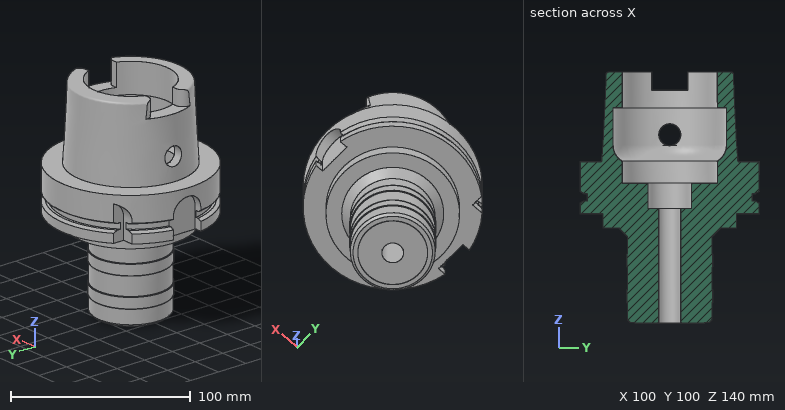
import cadquery as cq

OVERLAP = 1.4

taper_length = 50.0
taper_base_radius = 38.1
taper_end_radius = 35.5
taper_edge_fillet = 2.0

bore_radius = 26.5
bore_depth = 20.0
undercut_radius = 31.5
undercut_straight_length = 21.0
undercut_fillet = 10.0
cavity_floor_z = -12.0
socket_radius = 12.0
socket_depth = 14.0
coolant_radius = 6.0

cross_hole_radius = 6.0
cross_hole_z = 15.0

notch_half_width = 10.0
notch_left_depth = 10.2
notch_right_depth = 15.3
lobe_tip_x = 32.3
lobe_tip_radius = 5.3

flange_radius = 50.0
flange_thickness = 29.1
groove_floor_radius = 46.0
groove_mouth_top_z = -16.7
groove_mouth_width = 6.5
groove_chamfer_height = 1.3
groove_chamfer_depth = 2.2

pocket_half_width = 10.0
pocket_top_z = -5.2
drive_pocket_floor = 44.0
index_notch_wall = 31.5

collar_radius = 37.2
collar_bottom_z = -37.1
neck_top_radius = 28.4
pilot_radius = 23.7
pilot_bottom_z = taper_length - 140.0
pilot_chamfer = 1.5
tip_radius = 19.5
tip_height = 0.4
band_radius = 24.1
band_width = 7.7
band_chamfer = band_radius - pilot_radius
band_top_heights = (-51.2, -71.1)


def make_turned_body():
    """Revolve the outside of the part as one solid of revolution."""
    flange_bottom_z = -flange_thickness
    groove_mouth_bottom_z = groove_mouth_top_z - groove_mouth_width
    groove_floor_top_z = groove_mouth_top_z - groove_chamfer_height
    groove_floor_bottom_z = groove_mouth_bottom_z + groove_chamfer_height
    groove_shoulder_radius = flange_radius - groove_chamfer_depth
    neck_bottom_z = collar_bottom_z - (neck_top_radius - pilot_radius)
    pilot_end_z = pilot_bottom_z + tip_height
    profile = [
        (0, taper_length),
        (taper_end_radius, taper_length),
        (taper_base_radius, 0),
        (flange_radius, 0),
        (flange_radius, groove_mouth_top_z),
        (groove_shoulder_radius, groove_floor_top_z),
        (groove_floor_radius, groove_floor_top_z),
        (groove_floor_radius, groove_floor_bottom_z),
        (groove_shoulder_radius, groove_floor_bottom_z),
        (flange_radius, groove_mouth_bottom_z),
        (flange_radius, flange_bottom_z),
        (collar_radius, flange_bottom_z),
        (collar_radius, collar_bottom_z),
        (neck_top_radius, collar_bottom_z),
        (pilot_radius, neck_bottom_z),
        (pilot_radius, pilot_end_z + pilot_chamfer),
        (pilot_radius - pilot_chamfer, pilot_end_z),
        (tip_radius, pilot_end_z),
        (tip_radius, pilot_bottom_z),
        (0, pilot_bottom_z),
    ]
    body = cq.Workplane("XZ").polyline(profile).close().revolve(360, (0, 0), (0, 1))
    for top_z in band_top_heights:
        band = upright_cylinder(band_radius, top_z - band_width, top_z)
        body = body.union(band.edges().chamfer(band_chamfer))
    return body.faces(">Z").edges().fillet(taper_edge_fillet)


def upright_cylinder(radius, bottom_z, top_z):
    """Cylinder on the Z axis between two heights."""
    return cq.Workplane("XY").workplane(offset=bottom_z).circle(radius).extrude(top_z - bottom_z)


def make_cavity():
    """Bore with a round-bottomed undercut, central socket and coolant passage."""
    undercut_top_z = taper_length - bore_depth
    socket_bottom_z = cavity_floor_z - socket_depth
    undercut_bottom_z = undercut_top_z - undercut_straight_length - undercut_fillet
    undercut = upright_cylinder(undercut_radius, undercut_bottom_z, undercut_top_z)
    undercut = undercut.faces("<Z").edges().fillet(undercut_fillet)
    cavity = upright_cylinder(bore_radius, cavity_floor_z, taper_length + OVERLAP)
    cavity = cavity.union(undercut)
    cavity = cavity.union(upright_cylinder(socket_radius, socket_bottom_z, cavity_floor_z))
    return cavity.union(upright_cylinder(coolant_radius, pilot_bottom_z - OVERLAP, socket_bottom_z))


def make_cross_hole():
    """Hole along X through both shank walls."""
    return (
        cq.Workplane("YZ")
        .center(0, cross_hole_z)
        .circle(cross_hole_radius)
        .extrude(flange_radius, both=True)
    )


def make_driver_notch(side, depth):
    """Notch through the shank wall on one X side, leaving rounded lobe tips beside it."""
    arc_start_x = lobe_tip_x - lobe_tip_radius
    arc_end_y = notch_half_width + lobe_tip_radius
    outer_x = taper_base_radius + OVERLAP
    arc_start = (side * arc_start_x, notch_half_width)
    arc_end = (side * lobe_tip_x, arc_end_y)
    return (
        cq.Workplane("XY")
        .workplane(offset=taper_length - depth)
        .moveTo(0, -notch_half_width)
        .lineTo(side * arc_start_x, -notch_half_width)
        .radiusArc((side * lobe_tip_x, -arc_end_y), side * lobe_tip_radius)
        .lineTo(side * lobe_tip_x, -outer_x)
        .lineTo(side * outer_x, -outer_x)
        .lineTo(side * outer_x, outer_x)
        .lineTo(side * lobe_tip_x, outer_x)
        .lineTo(*arc_end)
        .radiusArc(arc_start, side * lobe_tip_radius)
        .lineTo(0, notch_half_width)
        .close()
        .extrude(depth + OVERLAP)
    )


def make_rim_pocket(side, center_y, floor_x):
    """Round-topped pocket cut along X into the rim and open at the flange underside."""
    arch_center_z = pocket_top_z - pocket_half_width
    depth = flange_radius + OVERLAP - floor_x
    return (
        cq.Workplane("YZ")
        .workplane(offset=side * floor_x)
        .moveTo(center_y - pocket_half_width, -flange_thickness)
        .lineTo(center_y - pocket_half_width, arch_center_z)
        .threePointArc((center_y, pocket_top_z), (center_y + pocket_half_width, arch_center_z))
        .lineTo(center_y + pocket_half_width, -flange_thickness)
        .close()
        .extrude(side * depth)
    )


result = make_turned_body().cut(make_cavity()).cut(make_cross_hole())

for side, depth in ((-1, notch_left_depth), (1, notch_right_depth)):
    result = result.cut(make_driver_notch(side, depth))
    result = result.cut(make_rim_pocket(side, 0, drive_pocket_floor))

result = result.cut(make_rim_pocket(-1, index_notch_wall + pocket_half_width, index_notch_wall))